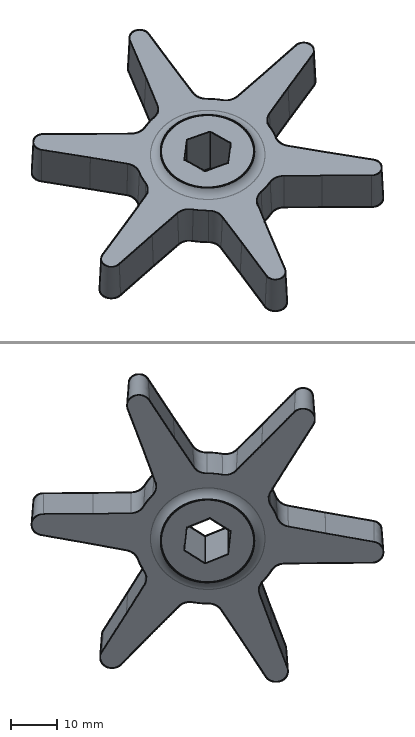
import cadquery as cq
import math

total_height = 12.7
star_thickness = 10.4
boss_height = (total_height - star_thickness) / 2

arm_count = 6
arm_length = 38.1
tip_radius = 2.6
knee_distance = 25.15
outer_flank_angle = 5.8
inner_flank_angle = 6.3
root_radius = 15.85
root_fillet = 3.1
draft_angle = 2.0

boss_top_radius = 10.1
boss_base_radius = 12.35

hub_radius = 10.0
bore_sides = 6
bore_across_flats = 9.5
bore_across_corners = bore_across_flats / math.cos(math.pi / bore_sides)

arm_pitch = 360 / arm_count
star_bottom = -star_thickness / 2
star_top = star_thickness / 2


def polar(radius, degrees):
    """Point in XY at a radius and an angle from +X."""
    angle = math.radians(degrees)
    return radius * math.cos(angle), radius * math.sin(angle)


def rotated(point, degrees):
    """Point turned about the origin."""
    radius = math.hypot(*point)
    return polar(radius, math.degrees(math.atan2(point[1], point[0])) + degrees)


def flank_points():
    """Knee and outer end of the +Y flank of an arm lying along +X."""
    slope = math.radians(outer_flank_angle)
    tip_center = arm_length - tip_radius
    flank_end = (tip_center + tip_radius * math.sin(slope), tip_radius * math.cos(slope))
    knee = (knee_distance, flank_end[1] + (flank_end[0] - knee_distance) * math.tan(slope))
    return knee, flank_end


def root_fillet_points(knee):
    """Start, middle and end of the fillet from the round body to the flank that runs to the knee."""
    slope = math.radians(inner_flank_angle)

    flank_to_axis = knee[0] * math.sin(slope) + knee[1] * math.cos(slope)
    center_distance = root_radius + root_fillet
    center_angle = math.asin((flank_to_axis + root_fillet) / center_distance) - slope
    center = polar(center_distance, math.degrees(center_angle))

    to_body = math.degrees(center_angle) - 180
    to_flank = -90 - inner_flank_angle
    return [
        (center[0] + offset[0], center[1] + offset[1])
        for offset in (
            polar(root_fillet, to_body),
            polar(root_fillet, (to_body + to_flank) / 2),
            polar(root_fillet, to_flank),
        )
    ]


def mirrored(point):
    """Point reflected across the X axis."""
    return point[0], -point[1]


def star_outline():
    """Closed outline of the star, with one arm along +Y."""
    knee, flank_end = flank_points()
    root_start, fillet_middle, flank_start = root_fillet_points(knee)
    first_arm = 90
    outline = cq.Workplane("XY", origin=(0, 0, star_bottom))
    outline = outline.moveTo(*rotated(mirrored(root_start), first_arm))
    for index in range(arm_count):
        turn = first_arm + index * arm_pitch
        next_root = rotated(mirrored(root_start), turn + arm_pitch)
        outline = (
            outline
            .threePointArc(rotated(mirrored(fillet_middle), turn), rotated(mirrored(flank_start), turn))
            .lineTo(*rotated(mirrored(knee), turn))
            .lineTo(*rotated(mirrored(flank_end), turn))
            .threePointArc(polar(arm_length, turn), rotated(flank_end, turn))
            .lineTo(*rotated(knee, turn))
            .lineTo(*rotated(flank_start, turn))
            .threePointArc(rotated(fillet_middle, turn), rotated(root_start, turn))
            .threePointArc(polar(root_radius, turn + arm_pitch / 2), next_root)
        )
    return outline.close()


def make_bosses():
    """Revolved core whose ends flare out to the star faces in a concave curve tangent to them."""
    flare_width = boss_base_radius - boss_top_radius
    flare_radius = (flare_width**2 + boss_height**2) / (2 * boss_height)
    half_sweep = math.asin(flare_width / flare_radius) / 2
    middle_radius = boss_base_radius - flare_radius * math.sin(half_sweep)
    middle_height = star_top + flare_radius * (1 - math.cos(half_sweep))
    boss_top = star_top + boss_height
    return (
        cq.Workplane("XZ")
        .moveTo(0, -boss_top)
        .lineTo(boss_top_radius, -boss_top)
        .threePointArc((middle_radius, -middle_height), (boss_base_radius, star_bottom))
        .lineTo(boss_base_radius, star_top)
        .threePointArc((middle_radius, middle_height), (boss_top_radius, boss_top))
        .lineTo(0, boss_top)
        .close()
        .revolve(360, (0, 0, 0), (0, 1, 0))
    )


def hub_blank():
    """Plain cylinder that fills the bore of the star."""
    return cq.Workplane("XY").circle(hub_radius).extrude(total_height / 2, both=True)


def make_star():
    """Six-armed star with drafted sides, flared bosses and a round bore for the hub."""
    arms = star_outline().extrude(star_thickness, taper=draft_angle)
    return arms.union(make_bosses()).cut(hub_blank())


def make_hub():
    """Round hub with a hexagonal through bore, corners on the X axis."""
    bore = cq.Workplane("XY").polygon(bore_sides, bore_across_corners).extrude(total_height / 2, both=True)
    return hub_blank().cut(bore)


star = make_star().solids()
hub = make_hub().solids()

result = cq.Compound.makeCompound([star.val(), hub.val()])